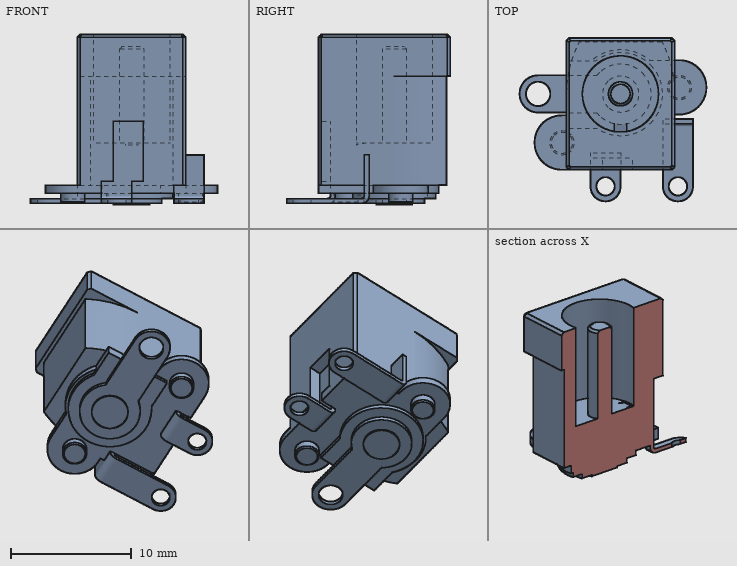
import cadquery as cq


body_half_width = 4.49
body_back = 4.65
body_front = -6.28
body_bottom = 1.64
body_top = 14.1
edge_chamfer = 0.25
barrel_back = 4.33
barrel_back_half_width = 3.42
barrel_side_radius = 9.33
barrel_top = 10.65

socket_diameter = 6.3
socket_depth = 8.98
pin_diameter = 2.0
pin_chamfer = 0.2
pin_recess = 0.99
ramp_width = 1.07
ramp_start = -2.48
ramp_drop = 0.14

base_bottom = 0.95
base_back = 2.74
base_disc_radius = 3.68
step_front = -2.85
step_disc_radius = 3.45

ear_radius = 2.26
ear_x = 4.86
right_ear_y = 0.54
left_ear_y = body_front + ear_radius
peg_diameter = 2.0
peg_bottom = 0.15
peg_chamfer = 0.12

sheet = 0.4
sheet_bottom = 0.12
sheet_top = sheet_bottom + sheet
bend_radius = 0.23
center_disc_radius = 2.51
side_lug_x = -6.81
side_lug_radius = 1.55
side_hole_diameter = 2.0
rivet_diameter = 3.0
front_lug_radius = 1.25
front_lug_tip = -8.9
front_lug_y = front_lug_tip + front_lug_radius
front_hole_diameter = 1.5
slot_lug_x = -1.24
slot_floor = -5.28
corner_lug_x = 4.75
corner_tab_front = -2.48
corner_tab_top = 4.13

slot_left = -1.52
slot_right = 0.99
slot_top = 6.94
slot_sill = 1.95


def box(x0, x1, y0, y1, z0, z1):
    return cq.Workplane("XY").box(x1 - x0, y1 - y0, z1 - z0, centered=False).translate((x0, y0, z0))


def cylinder(x, y, radius, z0, z1):
    return cq.Workplane("XY").workplane(offset=z0).center(x, y).circle(radius).extrude(z1 - z0)


def make_housing():
    """Chamfered block whose sides curve in to a flat back below the top cap."""
    block = box(-body_half_width, body_half_width, body_front, body_back, body_bottom, body_top)
    block = block.edges("|Z").chamfer(edge_chamfer).faces(">Z").edges().chamfer(edge_chamfer)
    rear = box(-body_half_width, body_half_width, 0, body_back, body_bottom, barrel_top)
    barrel = (
        cq.Workplane("XY")
        .workplane(offset=body_bottom)
        .moveTo(-body_half_width, 0)
        .radiusArc((-barrel_back_half_width, barrel_back), barrel_side_radius)
        .lineTo(barrel_back_half_width, barrel_back)
        .radiusArc((body_half_width, 0), barrel_side_radius)
        .close()
        .extrude(barrel_top - body_bottom)
    )
    return block.cut(rear).union(barrel)


def make_ear(side, y):
    """Round ear reaching out of the base, with a locating peg below it."""
    x = side * ear_x
    ear = cylinder(x, y, ear_radius, base_bottom, body_bottom)
    bridge = box(min(x, 0), max(x, 0), y - ear_radius, y + ear_radius, base_bottom, body_bottom)
    peg = cylinder(x, y, peg_diameter / 2, peg_bottom, base_bottom).faces("<Z").chamfer(peg_chamfer)
    return ear.union(bridge).union(peg)


def make_base():
    """Two shallow steps, each a rectangle joined to a disc on the socket axis."""
    upper = box(-body_half_width, body_half_width, body_front, base_back, base_bottom, body_bottom)
    upper = upper.union(cylinder(0, 0, base_disc_radius, base_bottom, body_bottom))
    lower = box(-body_half_width, 0, step_front, base_back, sheet_top, base_bottom)
    lower = lower.union(cylinder(0, 0, step_disc_radius, sheet_top, base_bottom))
    return upper.union(lower).union(make_ear(-1, left_ear_y)).union(make_ear(1, right_ear_y))


def cut_socket(body):
    """Plug bore with a small ramp sunk into its floor at the front."""
    floor = body_top - socket_depth
    wall = -socket_diameter / 2
    ramp = (
        cq.Workplane("YZ")
        .polyline([(ramp_start, floor), (wall, floor), (wall, floor - ramp_drop)])
        .close()
        .extrude(ramp_width / 2, both=True)
    )
    return body.cut(cylinder(0, 0, socket_diameter / 2, floor, body_top)).cut(ramp)


def make_pin():
    pin = cylinder(0, 0, pin_diameter / 2, base_bottom, body_top - pin_recess)
    return pin.faces(">Z").chamfer(pin_chamfer)


def cut_terminal_openings(body):
    """Front slot, the offset notch under it and the notch at the right front corner."""
    notch_left = slot_lug_x - front_lug_radius
    notch_right = slot_lug_x + front_lug_radius
    corner_left = corner_lug_x - front_lug_radius
    slot = box(slot_left, slot_right, body_front, slot_floor, slot_sill, slot_top)
    notch = box(notch_left, notch_right, body_front, slot_floor, base_bottom, slot_sill)
    corner = box(corner_left, body_half_width, body_front, corner_tab_front, base_bottom, body_bottom)
    return body.cut(slot).cut(notch).cut(corner)


def make_bent_lug(x, tab_front, tab_top):
    """L-shaped strip: a flat lug with a round, drilled end, bent up into a tab."""
    tab_back = tab_front + sheet
    strip = (
        cq.Workplane("YZ")
        .moveTo(front_lug_y, sheet_bottom)
        .lineTo(tab_back - bend_radius - sheet, sheet_bottom)
        .radiusArc((tab_back, sheet_top + bend_radius), -(bend_radius + sheet))
        .lineTo(tab_back, tab_top)
        .lineTo(tab_front, tab_top)
        .lineTo(tab_front, sheet_top + bend_radius)
        .radiusArc((tab_front - bend_radius, sheet_top), bend_radius)
        .lineTo(front_lug_y, sheet_top)
        .close()
        .extrude(front_lug_radius, both=True)
        .translate((x, 0, 0))
    )
    tip = cylinder(x, front_lug_y, front_lug_radius, sheet_bottom, sheet_top)
    hole = cylinder(x, front_lug_y, front_hole_diameter / 2, sheet_bottom, sheet_top)
    return strip.union(tip).cut(hole)


def make_side_terminal():
    """Disc and side lug, held by the rivet head of the centre pin."""
    disc = cylinder(0, 0, center_disc_radius, sheet_bottom, sheet_top)
    arm = box(side_lug_x, 0, -side_lug_radius, side_lug_radius, sheet_bottom, sheet_top)
    tip = cylinder(side_lug_x, 0, side_lug_radius, sheet_bottom, sheet_top)
    hole = cylinder(side_lug_x, 0, side_hole_diameter / 2, sheet_bottom, sheet_top)
    rivet = cylinder(0, 0, rivet_diameter / 2, 0, sheet_bottom)
    return disc.union(arm).union(tip).cut(hole).union(rivet)


def make_corner_tab():
    """Upper part of the corner terminal, standing against the right side of the housing."""
    right = corner_lug_x + front_lug_radius
    back = corner_tab_front + sheet
    return box(body_half_width, right, corner_tab_front, back, body_bottom, corner_tab_top)


body = make_housing().union(make_base())
body = cut_terminal_openings(cut_socket(body))
result = (
    body.union(make_pin())
    .union(make_side_terminal())
    .union(make_bent_lug(slot_lug_x, slot_floor, slot_sill))
    .union(make_bent_lug(corner_lug_x, corner_tab_front, body_bottom))
    .union(make_corner_tab())
)